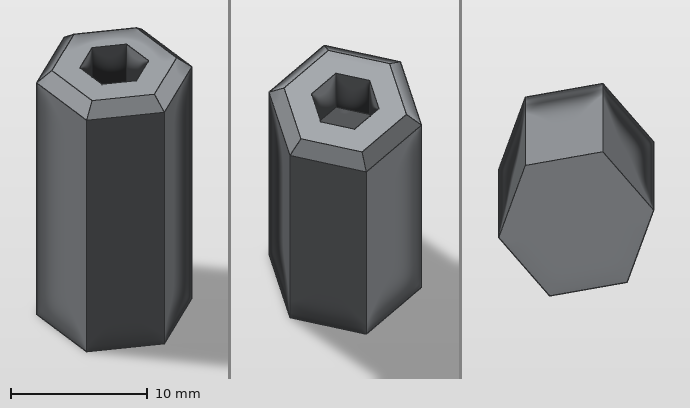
import cadquery as cq
import math

height = 22.5
body_flats = 10.0
chamfer = 1.0

socket_flats = 4.4
socket_depth = 4.5


def hex_prism(across_flats, length, base_z):
    """Hexagonal prism rising from base_z, with two flats square to X."""
    across_corners = across_flats / math.cos(math.radians(30))
    return (
        cq.Workplane("XY", origin=(0, 0, base_z))
        .transformed(rotate=(0, 0, 90))
        .polygon(6, across_corners)
        .extrude(length)
    )


body = hex_prism(body_flats, height, 0).faces(">Z").chamfer(chamfer)
socket = hex_prism(socket_flats, socket_depth, height - socket_depth)

result = body.cut(socket)